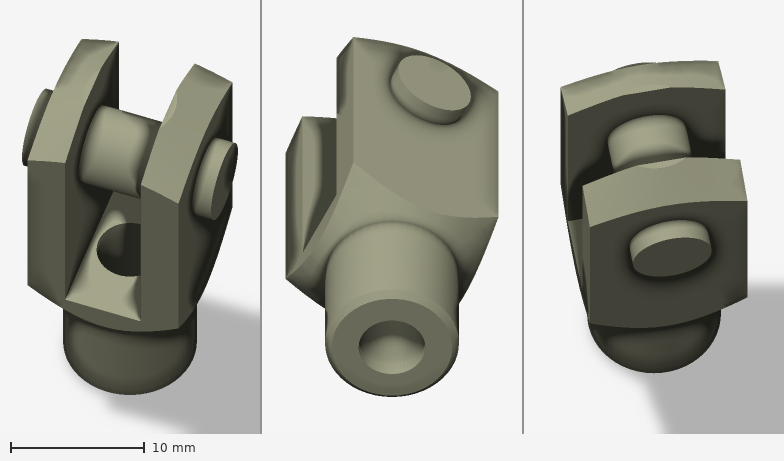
import cadquery as cq
import math

height = 31.0
body_width = 12.0
crown_radius = 3.53
crown_slope = 30.0
shoulder_slope = 45.0

neck_diameter = 10.0
neck_length = 9.0
neck_chamfer = 0.5
bore_diameter = 5.0

slot_width = body_width / 2
slot_floor = 12.0

pin_diameter = body_width / 2
pin_length = 15.0
pin_height = 24.0

neck_radius = neck_diameter / 2
corner_radius = body_width / math.sqrt(2)


def make_turned_envelope():
    """Revolved solid giving the chamfered neck, conical shoulder and crown."""
    shoulder_rise = (corner_radius - neck_radius) * math.tan(math.radians(shoulder_slope))
    crown_drop = (corner_radius - crown_radius) * math.tan(math.radians(crown_slope))
    return (
        cq.Workplane("XZ")
        .moveTo(0, 0)
        .lineTo(neck_radius - neck_chamfer, 0)
        .lineTo(neck_radius, neck_chamfer)
        .lineTo(neck_radius, neck_length)
        .lineTo(corner_radius, neck_length + shoulder_rise)
        .lineTo(corner_radius, height - crown_drop)
        .lineTo(crown_radius, height)
        .lineTo(0, height)
        .close()
        .revolve(360, (0, 0, 0), (0, 1, 0))
    )


def make_bar():
    return cq.Workplane("XY").rect(body_width, body_width).extrude(height)


def make_slot():
    return (
        cq.Workplane("XY")
        .workplane(offset=slot_floor)
        .rect(slot_width, body_width)
        .extrude(height - slot_floor)
    )


def make_bore():
    """Bore running from the neck end up into the slot."""
    return cq.Workplane("XY").circle(bore_diameter / 2).extrude(slot_floor)


def make_pin():
    return (
        cq.Workplane("YZ")
        .center(0, pin_height)
        .circle(pin_diameter / 2)
        .extrude(pin_length / 2, both=True)
    )


fork = make_bar().intersect(make_turned_envelope()).cut(make_slot()).cut(make_bore())
result = fork.union(make_pin())